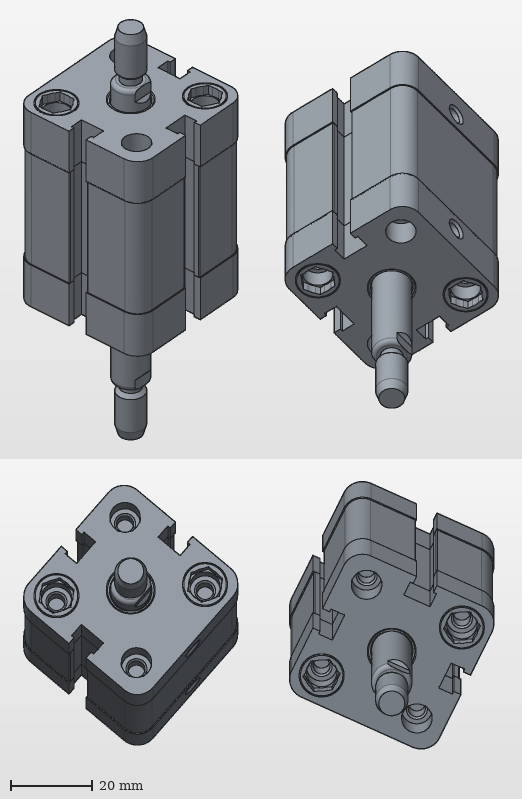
import cadquery as cq
import math


body_length = 59.0
cap_width = 40.3
cap_length = 12.7
cap_corner_radius = 5.0
barrel_step = 0.31
barrel_length = body_length - 2 * cap_length
barrel_width = cap_width - 2 * barrel_step
barrel_corner_radius = cap_corner_radius - barrel_step

slot_opening = 5.5
slot_inner_width = 7.1
slot_depth = 5.7
lip_thickness = 2.0
slot_floor = cap_width / 2 - slot_depth
slot_lip = cap_width / 2 - lip_thickness
slot_chamfer = 0.31
slot_side_angles = (0, 90, -90)

corner_spacing = 26.0
corner_hole_diameter = 7.5
corner_hole_depth = 7.4
thread_diameter = 4.2
thread_mouth_diameter = 5.2
screw_head_diameter = 11.1
screw_head_chamfer = 0.31
socket_across_flats = 7.9
socket_relief_diameter = 8.1
socket_depth = 2.7

port_offset = 7.7
port_mouth_diameter = 5.5
port_depth = 7.4

opening_mouth_diameter = 12.0
opening_floor_diameter = 11.5
clearance_diameter = 10.5
clearance_depth = 1.0

rod_diameter = 10.0
overall_length = 123.0
top_projection = 21.9
rod_top = body_length / 2 + top_projection
rod_bottom = rod_top - overall_length
stud_diameter = 8.0
stud_tip_diameter = 6.4
stud_tip_length = 2.8
stud_length = 12.8
neck_diameter = 5.8
shoulder_distance = 15.9
shoulder_fillet = 1.2
flats_width = 8.0
flat_end_distance = 19.3


def square_block(width, length, corner_radius):
    return (
        cq.Workplane("XY")
        .rect(width, width)
        .extrude(length)
        .edges("|Z")
        .fillet(corner_radius)
    )


def slot_cutter(face, length, edge_chamfer):
    """T slot opening through the side at x = face, with optional chamfers on its outer edges."""
    half_opening = slot_opening / 2
    channel = (
        cq.Workplane("XY")
        .moveTo((slot_floor + slot_lip) / 2, 0)
        .rect(slot_lip - slot_floor, slot_inner_width)
        .extrude(length)
    )
    mouth = (
        cq.Workplane("XY")
        .moveTo((slot_floor + face) / 2, 0)
        .rect(face - slot_floor, slot_opening)
        .extrude(length)
    )
    cutter = channel.union(mouth)
    if edge_chamfer > 0:
        flare = (
            cq.Workplane("XY")
            .moveTo(face - edge_chamfer, half_opening)
            .lineTo(face, half_opening + edge_chamfer)
            .lineTo(face, -half_opening - edge_chamfer)
            .lineTo(face - edge_chamfer, -half_opening)
            .close()
            .extrude(length)
        )
        cutter = cutter.union(flare)
    return cutter


def cut_slots(block, face, length, edge_chamfer=0):
    for angle in slot_side_angles:
        cutter = slot_cutter(face, length, edge_chamfer)
        block = block.cut(cutter.rotate((0, 0, 0), (0, 0, 1), angle))
    return block


def cone(large_diameter, small_diameter):
    """45 degree cone with its large end at z = 0, narrowing toward -Z."""
    height = (large_diameter - small_diameter) / 2
    return cq.Workplane(
        cq.Solid.makeCone(large_diameter / 2, small_diameter / 2, height, dir=cq.Vector(0, 0, -1))
    )


def cylinder(diameter, height):
    """Cylinder going down from z = 0."""
    return cq.Workplane("XY").circle(diameter / 2).extrude(-height)


def corner_hole():
    """Stepped hole with a countersunk thread hole in its floor, going down from z = 0."""
    threaded = cylinder(thread_diameter, cap_length)
    mouth = cone(thread_mouth_diameter, thread_diameter).translate((0, 0, -corner_hole_depth))
    return cylinder(corner_hole_diameter, corner_hole_depth).union(threaded).union(mouth)


def screw_details():
    """Hexagon socket and the groove left by the chamfered screw head, going down from z = 0."""
    socket_across_corners = socket_across_flats / math.cos(math.pi / 6)
    hexagon = cq.Workplane("XY").polygon(6, socket_across_corners).extrude(-socket_depth)
    socket = hexagon.union(cylinder(socket_relief_diameter, socket_depth))
    ring = cylinder(screw_head_diameter, screw_head_chamfer)
    head_top_diameter = screw_head_diameter - 2 * screw_head_chamfer
    head_chamfer = cone(screw_head_diameter, head_top_diameter)
    head = head_chamfer.mirror("XY").translate((0, 0, -screw_head_chamfer))
    return socket.union(ring.cut(head))


def air_port():
    """Countersunk blind port entering along +X from x = 0."""
    port = cylinder(thread_diameter, port_depth).union(cone(port_mouth_diameter, thread_diameter))
    return port.rotate((0, 0, 0), (0, 1, 0), -90)


def rod_opening():
    """Rod hole with a clearance around the rod and a conical mouth, going down from z = 0."""
    rod_hole = cylinder(rod_diameter, cap_length)
    clearance = cylinder(clearance_diameter, clearance_depth)
    return rod_hole.union(clearance).union(cone(opening_mouth_diameter, opening_floor_diameter))


def make_cap():
    """End cap with its inner face at z = 0 and its outer face up."""
    cap = square_block(cap_width, cap_length, cap_corner_radius)
    cap = cut_slots(cap, cap_width / 2, cap_length)
    corner = corner_spacing / 2
    for x_side in (-1, 1):
        for y_side in (-1, 1):
            place = (x_side * corner, y_side * corner, cap_length)
            cap = cap.cut(corner_hole().translate(place))
            if x_side == y_side:
                cap = cap.cut(screw_details().translate(place))
    cap = cap.cut(rod_opening().translate((0, 0, cap_length)))
    return cap.cut(air_port().translate((-cap_width / 2, 0, cap_length - port_offset)))


def make_barrel():
    barrel = square_block(barrel_width, barrel_length, barrel_corner_radius)
    barrel = cut_slots(barrel, barrel_width / 2, barrel_length, slot_chamfer)
    barrel = barrel.cut(cylinder(rod_diameter, barrel_length).translate((0, 0, barrel_length)))
    return barrel.translate((0, 0, -barrel_length / 2))


def flat_cutter():
    """Cutter for one wrench flat on the +X side of an upward rod end whose tip is at z = 0."""
    flat_x = flats_width / 2
    outside_x = rod_diameter
    return (
        cq.Workplane("XZ")
        .moveTo(flat_x, -shoulder_distance)
        .lineTo(flat_x, -flat_end_distance)
        .lineTo(outside_x, -flat_end_distance - (outside_x - flat_x))
        .lineTo(outside_x, -shoulder_distance)
        .close()
        .extrude(rod_diameter, both=True)
    )


def make_rod_half(tip_height):
    """Upward half of the rod, from z = 0 to its tip."""
    rod_radius = rod_diameter / 2
    stud_radius = stud_diameter / 2
    neck_radius = neck_diameter / 2
    shoulder = tip_height - shoulder_distance
    stud_end = tip_height - stud_length
    arc_offset = shoulder_fillet * (1 - math.sqrt(0.5))
    half = (
        cq.Workplane("YZ")
        .lineTo(rod_radius, 0)
        .lineTo(rod_radius, shoulder - shoulder_fillet)
        .threePointArc(
            (rod_radius - arc_offset, shoulder - arc_offset),
            (rod_radius - shoulder_fillet, shoulder),
        )
        .lineTo(neck_radius, shoulder)
        .lineTo(neck_radius, stud_end - (stud_radius - neck_radius))
        .lineTo(stud_radius, stud_end)
        .lineTo(stud_radius, tip_height - stud_tip_length)
        .lineTo(stud_tip_diameter / 2, tip_height)
        .lineTo(0, tip_height)
        .close()
        .revolve(360, (0, 0, 0), (0, 1, 0))
    )
    for angle in (0, 180):
        cutter = flat_cutter().rotate((0, 0, 0), (0, 0, 1), angle)
        half = half.cut(cutter.translate((0, 0, tip_height)))
    return half


def make_rod():
    upper = make_rod_half(rod_top)
    lower = make_rod_half(-rod_bottom).mirror("XY")
    return upper.union(lower)


barrel = make_barrel()
top_cap = make_cap().translate((0, 0, barrel_length / 2))
caps = [top_cap, top_cap.mirror("XY")]
rod = make_rod()

result = cq.Compound.makeCompound([barrel.val(), *[cap.val() for cap in caps], rod.val()])